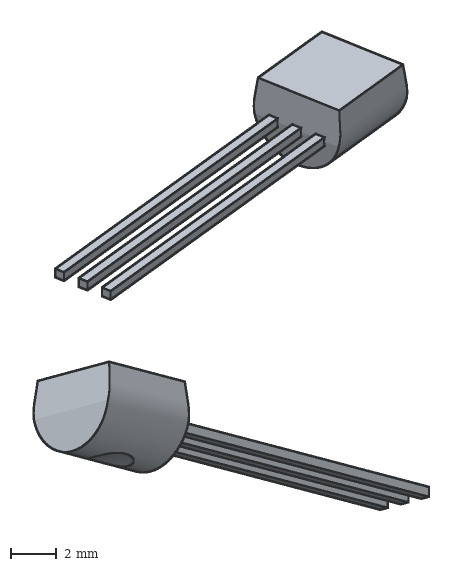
import cadquery as cq
import math

total_length = 20.44
housing_height = 3.62
housing_radius = 2.35
housing_length = 4.95

side_draft = 7.0
upper_end_draft = 5.0
lower_end_draft = 2.5

lead_pitch = 1.27
lead_width = 0.48
lead_thickness = 0.45
lead_embed = 0.5
lead_count = 3

groove_width = 2.1
groove_depth = 0.17

underside_z = -housing_radius
top_z = underside_z + housing_height
parting_z = -0.51
lead_z = -0.54
half_length = housing_length / 2
lead_tip_y = half_length - total_length


def make_profile():
    """Cross-section: round below, flat drafted sides tangent to the arc, flat top."""
    draft = math.radians(side_draft)
    tangent_x = housing_radius * math.cos(draft)
    tangent_z = housing_radius * math.sin(draft)
    top_x = tangent_x - (top_z - tangent_z) * math.tan(draft)
    return (
        cq.Workplane("XZ", origin=(0, half_length, 0))
        .moveTo(-top_x, top_z)
        .lineTo(-tangent_x, tangent_z)
        .threePointArc((0, underside_z), (tangent_x, tangent_z))
        .lineTo(top_x, top_z)
        .close()
    )


def make_end_draft_envelope():
    """Prism along X whose ends lean inwards above and below the parting plane."""
    upper_inset = (top_z - parting_z) * math.tan(math.radians(upper_end_draft))
    lower_inset = (parting_z - underside_z) * math.tan(math.radians(lower_end_draft))
    top_y = half_length - upper_inset
    bottom_y = half_length - lower_inset
    return (
        cq.Workplane("YZ")
        .polyline([
            (-top_y, top_z),
            (top_y, top_z),
            (half_length, parting_z),
            (bottom_y, underside_z),
            (-bottom_y, underside_z),
            (-half_length, parting_z),
        ])
        .close()
        .extrude(housing_radius, both=True)
    )


def make_underside_groove():
    """Cylinder along X that cuts a shallow round-bottomed groove across the underside."""
    half_width = groove_width / 2
    groove_radius = (half_width ** 2 + groove_depth ** 2) / (2 * groove_depth)
    axis_z = underside_z + groove_depth - groove_radius
    return (
        cq.Workplane("YZ")
        .center(0, axis_z)
        .circle(groove_radius)
        .extrude(housing_radius, both=True)
    )


def make_lead(x):
    """Straight rectangular lead from inside the housing to its tip."""
    lead_root_y = -half_length + lead_embed
    return (
        cq.Workplane("XZ", origin=(x, lead_root_y, lead_z))
        .rect(lead_width, lead_thickness)
        .extrude(lead_root_y - lead_tip_y)
    )


leads = []
for index in range(lead_count):
    lead_x = (index - (lead_count - 1) / 2) * lead_pitch
    leads.append(make_lead(lead_x))

housing = make_profile().extrude(housing_length)
housing = housing.intersect(make_end_draft_envelope())
housing = housing.cut(make_underside_groove())
for lead in leads:
    housing = housing.cut(lead)

result = cq.Compound.makeCompound([housing.val(), *[lead.val() for lead in leads]])